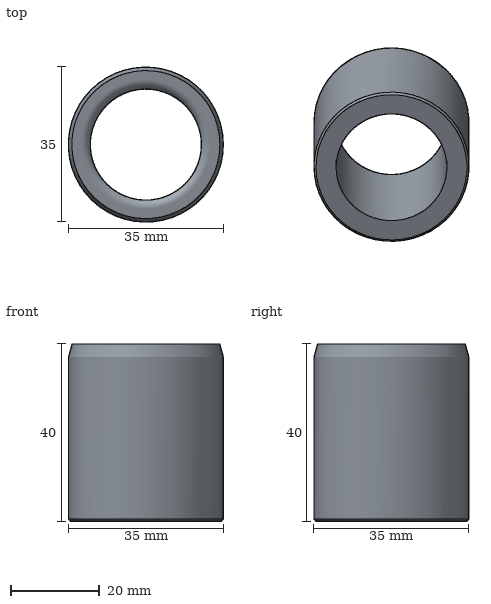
import cadquery as cq
import math

height = 40.0
outer_diameter = 35.0
bore_diameter = 25.0

taper_height = 3.0
taper_angle = 15.0
taper_inset = taper_height * math.tan(math.radians(taper_angle))

bore_mouth_radius = 2.0
bottom_chamfer = 0.5

sleeve = (
    cq.Workplane("XY")
    .circle(outer_diameter / 2)
    .circle(bore_diameter / 2)
    .extrude(height)
)

outer_edge = cq.selectors.RadiusNthSelector(-1)
bore_edge = cq.selectors.RadiusNthSelector(0)

sleeve = sleeve.faces(">Z").edges(bore_edge).fillet(bore_mouth_radius)

sleeve = sleeve.faces("<Z").edges(outer_edge).chamfer(bottom_chamfer)

outer_radius = outer_diameter / 2
taper_ring = (
    cq.Workplane("XZ")
    .moveTo(outer_radius, height - taper_height)
    .lineTo(outer_radius, height)
    .lineTo(outer_radius - taper_inset, height)
    .close()
    .revolve(360, (0, 0, 0), (0, 1, 0))
)

result = sleeve.cut(taper_ring)